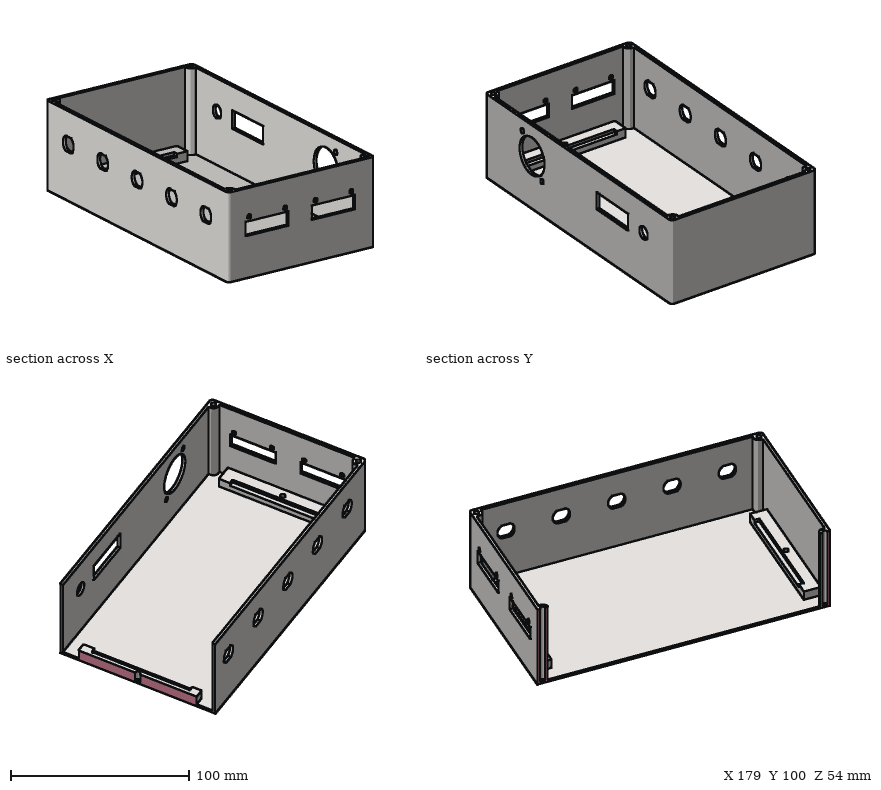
import cadquery as cq

length = 179
width = 100.0
height = 54.0
wall = 2.0
floor = 2.0
outer_radius = 2.0
inner_length = length - 2 * wall
inner_width = width - 2 * wall

post_size = 6.5
post_radius = 3.0
lid_hole_diameter = 2.9
lid_hole_inset = 3.2
lid_hole_depth = height - floor

pad_reach = 12.4
pad_length = 76.3
pad_height = 5.9
pad_top = floor + pad_height
pad_hole_diameter = 3.0
pad_hole_inset = 6.8
step_width = 3.0
step_length = 63.0
step_depth = 2.0
step_offset_y = -0.5

panel_axis_z = 34

switch_count = 5
switch_pitch = 33.8
switch_diameter = 10.5
switch_flat_height = 9.1

round_connector_x = 44.5
round_connector_diameter = 24.0
round_screw_dx = 9.5
round_screw_dz = 12.0
panel_screw_diameter = 3.0
window_x = -32.5
window_length = 30.3
window_height = 11.0
jack_x = -62.6
jack_diameter = 8.0

port_centers_y = (22.0, -23.3)
port_length = 29.4
port_height = 8.6
port_center_z = 29.7
port_screw_spacing = 24.5
port_screw_z = 36.7
port_screw_diameter = 2.5


def box_at(size, center):
    """Box of the given size about a centre point."""
    return cq.Workplane("XY").box(*size).translate(center)


def rod_y(diameter, x, y, z):
    """Cylinder along Y, long enough to pierce one wall centred at y."""
    return cq.Workplane("XZ").circle(diameter / 2).extrude(wall, both=True).translate((x, y, z))


def rod_x(diameter, x, y, z):
    """Cylinder along X, long enough to pierce one wall centred at x."""
    return cq.Workplane("YZ").circle(diameter / 2).extrude(wall, both=True).translate((x, y, z))


def make_shell():
    outside = cq.Workplane("XY").box(length, width, height, centered=(True, True, False))
    outside = outside.edges("|Z").fillet(outer_radius)
    cavity = (
        cq.Workplane("XY", origin=(0, 0, floor))
        .box(inner_length, inner_width, height, centered=(True, True, False))
    )
    for side_x in (-1, 1):
        for side_y in (-1, 1):
            center_x = side_x * (length - post_size) / 2
            center_y = side_y * (width - post_size) / 2
            nose = ("<X" if side_x > 0 else ">X", "<Y" if side_y > 0 else ">Y")
            post = (
                cq.Workplane("XY").box(post_size, post_size, 2 * height + floor)
                .faces(nose[0]).edges(nose[1]).fillet(post_radius)
                .translate((center_x, center_y, 0))
            )
            cavity = cavity.cut(post)
    return outside.cut(cavity)


def cut_lid_holes(body):
    spacing_x = length - 2 * lid_hole_inset
    spacing_y = width - 2 * lid_hole_inset
    holes = (
        cq.Workplane("XY", origin=(0, 0, height))
        .rect(spacing_x, spacing_y, forConstruction=True).vertices()
        .circle(lid_hole_diameter / 2).extrude(-lid_hole_depth)
    )
    return body.cut(holes)


def add_pad(body, side):
    """Pad at the short wall on the given side (-1 or 1), stepped along its inner edge."""
    pad_x = side * (length - pad_reach) / 2
    step_x = side * (length / 2 - pad_reach + step_width / 2)
    hole_x = side * (length / 2 - pad_hole_inset)
    pad = box_at((pad_reach, pad_length, pad_top), (pad_x, 0, pad_top / 2))
    step = box_at((step_width, step_length, step_depth), (step_x, step_offset_y, pad_top - step_depth / 2))
    hole = (
        cq.Workplane("XY", origin=(hole_x, 0, floor))
        .circle(pad_hole_diameter / 2).extrude(pad_height)
    )
    return body.union(pad).cut(step).cut(hole)


def cut_front_holes(body):
    wall_y = -(width - wall) / 2
    flats = box_at((length, 2 * wall, switch_flat_height), (0, wall_y, panel_axis_z))
    for index in range(switch_count):
        x = (index - (switch_count - 1) / 2) * switch_pitch
        body = body.cut(rod_y(switch_diameter, x, wall_y, panel_axis_z).intersect(flats))
    return body


def cut_back_openings(body):
    wall_y = (width - wall) / 2
    body = body.cut(rod_y(round_connector_diameter, round_connector_x, wall_y, panel_axis_z))
    for side in (-1, 1):
        screw_x = round_connector_x + side * round_screw_dx
        screw_z = panel_axis_z + side * round_screw_dz
        body = body.cut(rod_y(panel_screw_diameter, screw_x, wall_y, screw_z))
    body = body.cut(rod_y(jack_diameter, jack_x, wall_y, panel_axis_z))
    window = box_at((window_length, 2 * wall, window_height), (window_x, wall_y, panel_axis_z))
    return body.cut(window)


def cut_ports(body):
    wall_x = (length - wall) / 2
    for center_y in port_centers_y:
        body = body.cut(box_at((2 * wall, port_length, port_height), (wall_x, center_y, port_center_z)))
        for side in (-1, 1):
            screw_y = center_y + side * port_screw_spacing / 2
            body = body.cut(rod_x(port_screw_diameter, wall_x, screw_y, port_screw_z))
    return body


enclosure = cut_lid_holes(make_shell())
for pad_side in (-1, 1):
    enclosure = add_pad(enclosure, pad_side)
enclosure = cut_front_holes(enclosure)
enclosure = cut_back_openings(enclosure)
result = cut_ports(enclosure)